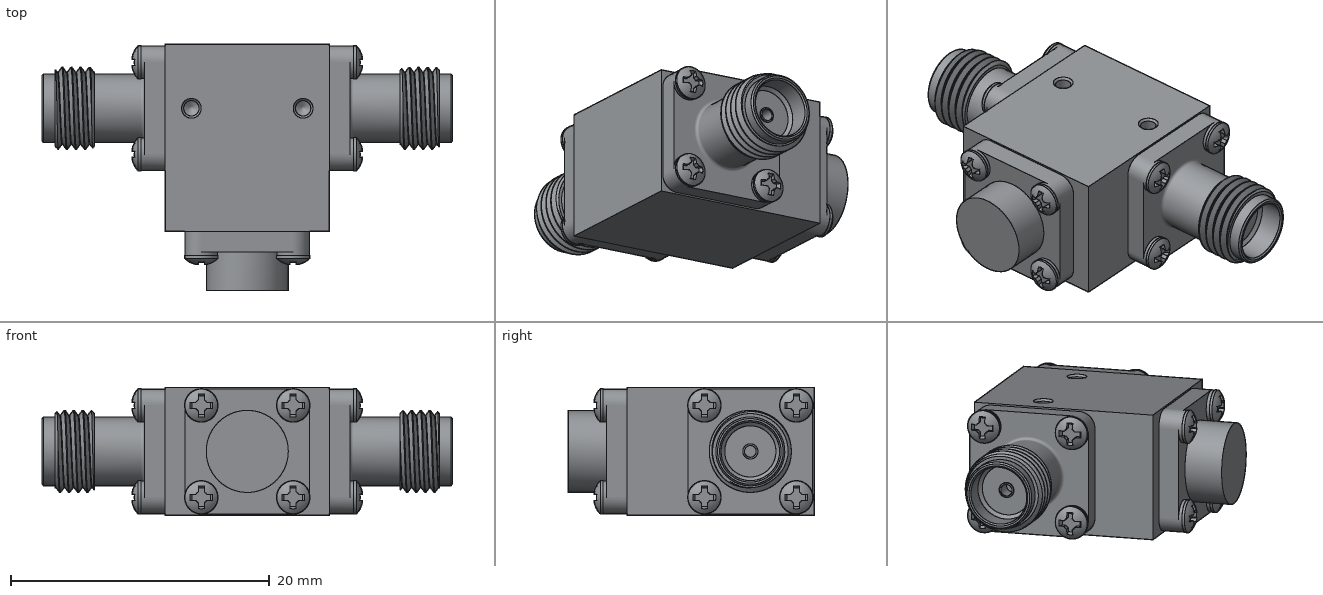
import cadquery as cq
import math


BODY_X = 12.70
BODY_Y = 14.48
BODY_Z = 9.91
BODY_BACK_Y = BODY_Z / 2
BODY_FRONT_Y = BODY_BACK_Y - BODY_Y

FLANGE_SIZE = 9.65
FLANGE_THICKNESS = 1.60
FLANGE_CORNER_RADIUS = 1.27
SCREW_PITCH = FLANGE_SIZE - 2 * FLANGE_CORNER_RADIUS
HEAD_DIAMETER = 2.59
HEAD_BASE_DIAMETER = 2 * FLANGE_CORNER_RADIUS
HEAD_BASE_HEIGHT = 0.27
HEAD_RIM_HEIGHT = 0.48
HEAD_HEIGHT = 1.02

RECESS_DEPTH = 0.55
RECESS_FLOOR_HEIGHT = HEAD_HEIGHT - RECESS_DEPTH
RECESS_ARM_WIDTH = 0.46
RECESS_ARM_FLOOR_REACH = 0.72
RECESS_ARM_TOP_REACH = 1.00
RECESS_CORE_SIDE = 0.95

OVERALL_X = 31.75
CONNECTOR_LENGTH = (OVERALL_X - BODY_X) / 2
BARREL_DIAMETER = 5.33
BARREL_BASE_FILLET = 0.25
TIP_FACE_DIAMETER = 5.08
TIP_CHAMFER = (BARREL_DIAMETER - TIP_FACE_DIAMETER) / 2
THREAD_DIAMETER = 6.35
THREAD_ROOT_DIAMETER = 5.60
INCH = 25.4
THREADS_PER_INCH = 36
THREAD_PITCH = INCH / THREADS_PER_INCH
THREAD_LENGTH = 3.07
TIP_PLAIN_LENGTH = 1.00
THREAD_END = CONNECTOR_LENGTH - TIP_PLAIN_LENGTH
THREAD_START = THREAD_END - THREAD_LENGTH
THREAD_ROOT_WIDTH = 0.06
THREAD_CREST_WIDTH = 0.08
THREAD_DEPTH = (THREAD_DIAMETER - THREAD_ROOT_DIAMETER) / 2
THREAD_FLANK_SLOPE = (THREAD_PITCH - THREAD_CREST_WIDTH - THREAD_ROOT_WIDTH) / 2 / THREAD_DEPTH
THREAD_CUT_MARGIN = 0.03
THREAD_END_CHAMFER = 0.25
THREAD_PHASE = 75
BORE_DIAMETER = 4.52
BORE_FLOOR_DIAMETER = 3.96
BORE_MOUTH_CHAMFER = 0.12
BORE_DEPTH = 1.90
BORE_CONE_DEPTH = 0.25
PIN_DIAMETER = 1.17
PIN_HOLE_DIAMETER = 0.91
PIN_HEIGHT = 0.10
PIN_HOLE_DEPTH = 1.50

OVERALL_Y = 19.05
TERMINATION_DIAMETER = 6.35
TERMINATION_LENGTH = OVERALL_Y - BODY_Y

TOP_HOLE_SPACING = 8.64
TOP_HOLE_DIAMETER = 1.19
TOP_HOLE_MOUTH_DIAMETER = 1.52
TOP_HOLE_DEPTH = 2.00
DRILL_POINT_ANGLE = 118


def cylinder(diameter, bottom, top):
    """Cylinder on the Z axis between two heights."""
    return cq.Workplane("XY").workplane(offset=bottom).circle(diameter / 2).extrude(top - bottom)


def recess_arm():
    """One bar of the cross recess: two opposite arms with sloping ends."""
    return (
        cq.Workplane("XZ")
        .moveTo(-RECESS_ARM_FLOOR_REACH, RECESS_FLOOR_HEIGHT)
        .lineTo(RECESS_ARM_FLOOR_REACH, RECESS_FLOOR_HEIGHT)
        .lineTo(RECESS_ARM_TOP_REACH, HEAD_HEIGHT)
        .lineTo(-RECESS_ARM_TOP_REACH, HEAD_HEIGHT)
        .close()
        .extrude(RECESS_ARM_WIDTH / 2, both=True)
    )


def screw_head():
    """Domed screw head on a slightly narrower base at Z = 0, with a cross recess."""
    radius = HEAD_DIAMETER / 2
    base_radius = HEAD_BASE_DIAMETER / 2
    dome_height = HEAD_HEIGHT - HEAD_RIM_HEIGHT
    dome_radius = (radius**2 + dome_height**2) / (2 * dome_height)
    mid_x = radius / 2
    mid_z = HEAD_HEIGHT - dome_radius + math.sqrt(dome_radius**2 - mid_x**2)
    head = (
        cq.Workplane("XZ")
        .moveTo(0, 0)
        .lineTo(base_radius, 0)
        .lineTo(base_radius, HEAD_BASE_HEIGHT)
        .lineTo(radius, HEAD_BASE_HEIGHT)
        .lineTo(radius, HEAD_RIM_HEIGHT)
        .threePointArc((mid_x, mid_z), (0, HEAD_HEIGHT))
        .close()
        .revolve(360, (0, 0), (0, 1))
    )
    core = (
        cq.Workplane("XY")
        .workplane(offset=RECESS_FLOOR_HEIGHT)
        .rect(RECESS_CORE_SIDE, RECESS_CORE_SIDE)
        .extrude(HEAD_HEIGHT - RECESS_FLOOR_HEIGHT)
        .rotate((0, 0, 0), (0, 0, 1), 45)
    )
    arm = recess_arm()
    return head.cut(core).cut(arm).cut(arm.rotate((0, 0, 0), (0, 0, 1), 90))


def flange_with_screws():
    """Square flange on Z = 0 with a screw head at each rounded corner."""
    flange = (
        cq.Workplane("XY")
        .rect(FLANGE_SIZE, FLANGE_SIZE)
        .extrude(FLANGE_THICKNESS)
        .edges("|Z")
        .fillet(FLANGE_CORNER_RADIUS)
    )
    head = screw_head()
    for x in (-SCREW_PITCH / 2, SCREW_PITCH / 2):
        for y in (-SCREW_PITCH / 2, SCREW_PITCH / 2):
            flange = flange.union(head.translate((x, y, FLANGE_THICKNESS)))
    return flange


def thread_groove():
    """Right-hand helical V groove that runs past both ends of the threaded collar."""
    root_radius = THREAD_ROOT_DIAMETER / 2
    outer_radius = THREAD_DIAMETER / 2 + THREAD_CUT_MARGIN
    root_half_width = THREAD_ROOT_WIDTH / 2
    outer_half_width = root_half_width + (outer_radius - root_radius) * THREAD_FLANK_SLOPE
    helix = cq.Wire.makeHelix(THREAD_PITCH, THREAD_LENGTH + 2 * THREAD_PITCH, root_radius)
    return (
        cq.Workplane("XZ")
        .moveTo(root_radius, -root_half_width)
        .lineTo(outer_radius, -outer_half_width)
        .lineTo(outer_radius, outer_half_width)
        .lineTo(root_radius, root_half_width)
        .close()
        .sweep(cq.Workplane(obj=helix), isFrenet=True)
        .rotate((0, 0, 0), (0, 0, 1), THREAD_PHASE)
        .translate((0, 0, THREAD_START - THREAD_PITCH))
    )


def threaded_collar():
    """Collar with chamfered ends and a helical thread."""
    blank = cylinder(THREAD_DIAMETER, THREAD_START, THREAD_END)
    collar = blank.faces("|Z").edges().chamfer(THREAD_END_CHAMFER)
    return collar.cut(thread_groove())


def connector_bore():
    """Cavity in the connector tip: chamfered mouth, straight bore, then a short cone to the floor."""
    cone_start = CONNECTOR_LENGTH - BORE_DEPTH
    return (
        cq.Workplane("XZ")
        .moveTo(0, CONNECTOR_LENGTH)
        .lineTo(BORE_DIAMETER / 2 + BORE_MOUTH_CHAMFER, CONNECTOR_LENGTH)
        .lineTo(BORE_DIAMETER / 2, CONNECTOR_LENGTH - BORE_MOUTH_CHAMFER)
        .lineTo(BORE_DIAMETER / 2, cone_start)
        .lineTo(BORE_FLOOR_DIAMETER / 2, cone_start - BORE_CONE_DEPTH)
        .lineTo(0, cone_start - BORE_CONE_DEPTH)
        .close()
        .revolve(360, (0, 0), (0, 1))
    )


def barrel():
    """Barrel on the flange, flared at its base and chamfered at its tip."""
    radius = BARREL_DIAMETER / 2
    flare_radius = radius + BARREL_BASE_FILLET
    flare_top = FLANGE_THICKNESS + BARREL_BASE_FILLET
    return (
        cq.Workplane("XZ")
        .moveTo(0, 0)
        .lineTo(flare_radius, 0)
        .lineTo(flare_radius, FLANGE_THICKNESS)
        .radiusArc((radius, flare_top), BARREL_BASE_FILLET)
        .lineTo(radius, CONNECTOR_LENGTH - TIP_CHAMFER)
        .lineTo(TIP_FACE_DIAMETER / 2, CONNECTOR_LENGTH)
        .lineTo(0, CONNECTOR_LENGTH)
        .close()
        .revolve(360, (0, 0), (0, 1))
    )


def connector():
    """Threaded female connector standing on Z = 0 and opening toward +Z."""
    floor = CONNECTOR_LENGTH - BORE_DEPTH - BORE_CONE_DEPTH
    pin = cylinder(PIN_DIAMETER, floor - PIN_HEIGHT, floor + PIN_HEIGHT)
    pin_hole = cylinder(PIN_HOLE_DIAMETER, floor + PIN_HEIGHT - PIN_HOLE_DEPTH, floor + PIN_HEIGHT)
    outside = flange_with_screws().union(barrel()).union(threaded_collar())
    return outside.cut(connector_bore()).union(pin).cut(pin_hole)


def termination():
    """Flanged plain cylinder standing on Z = 0."""
    return flange_with_screws().union(cylinder(TERMINATION_DIAMETER, 0, TERMINATION_LENGTH))


def body():
    """Rectangular block with its back face beyond the connector axis."""
    center_y = (BODY_BACK_Y + BODY_FRONT_Y) / 2
    return cq.Workplane("XY").box(BODY_X, BODY_Y, BODY_Z).translate((0, center_y, 0))


def top_hole():
    """Blind drilled hole with a chamfered mouth, opening upward at the top face."""
    top = BODY_Z / 2
    radius = TOP_HOLE_DIAMETER / 2
    mouth_radius = TOP_HOLE_MOUTH_DIAMETER / 2
    chamfer = mouth_radius - radius
    point_depth = radius / math.tan(math.radians(DRILL_POINT_ANGLE / 2))
    return (
        cq.Workplane("XZ")
        .moveTo(0, top)
        .lineTo(mouth_radius, top)
        .lineTo(radius, top - chamfer)
        .lineTo(radius, top - TOP_HOLE_DEPTH)
        .lineTo(0, top - TOP_HOLE_DEPTH - point_depth)
        .close()
        .revolve(360, (0, 0), (0, 1))
    )


def mount(shape, origin, outward, sideways):
    """Stand a shape built on Z = 0 on a body face."""
    face = cq.Plane(origin=origin, xDir=sideways, normal=outward)
    return cq.Workplane(obj=shape.val().moved(cq.Location(face)))


def isolator():
    """Body with both connectors, the termination and the top holes."""
    part = body()
    port = connector()
    for side in (-1, 1):
        part = part.union(mount(port, (side * BODY_X / 2, 0, 0), (side, 0, 0), (0, 0, 1)))
        part = part.cut(top_hole().translate((side * TOP_HOLE_SPACING / 2, 0, 0)))
    return part.union(mount(termination(), (0, BODY_FRONT_Y, 0), (0, -1, 0), (1, 0, 0)))


result = isolator()